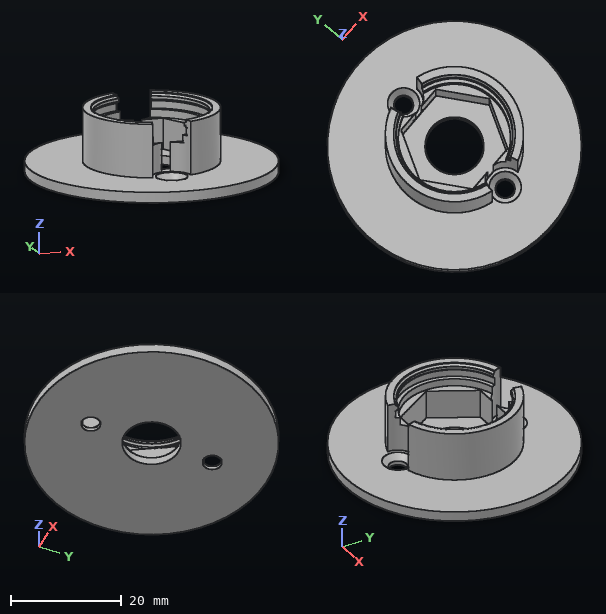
import cadquery as cq

flange_diameter = 46.0
flange_thickness = 2.0
bore_diameter = 10.6

collar_diameter = 25.0
collar_height = 10.0
collar_top = flange_thickness + collar_height

upper_recess_radius = 11.0
upper_recess_depth = 3.0
lower_recess_radius = 10.15
lower_recess_depth = 1.5
hex_depth_into_flange = 0.3
hex_across_corners = 19.6
upper_ledge = collar_top - upper_recess_depth
lower_ledge = upper_ledge - lower_recess_depth
hex_floor = flange_thickness - hex_depth_into_flange

bead_protrusion = 0.5
bead_lip = 0.1
bead_crest_height = 0.6
bead_top_gap = 0.2

screw_offset = 12.0
screw_diameter = 3.5
countersink_diameter = 5.8
countersink_angle = 90.0
screw_clearance_diameter = 7.2
screw_positions = [(0, screw_offset), (0, -screw_offset)]


def disc(diameter, bottom, top):
    """Upright cylinder on the Z axis between two heights."""
    return cq.Workplane("XY").workplane(offset=bottom).circle(diameter / 2).extrude(top - bottom)


def make_collar():
    """Collar with two round steps in its bore."""
    collar = disc(collar_diameter, flange_thickness, collar_top)
    upper_recess = disc(2 * upper_recess_radius, upper_ledge, collar_top)
    lower_recess = disc(2 * lower_recess_radius, lower_ledge, upper_ledge)
    return collar.cut(upper_recess).cut(lower_recess)


def make_hex_pocket():
    """Hexagonal pocket from the lower ledge to just below the flange face."""
    return (
        cq.Workplane("XY")
        .workplane(offset=hex_floor)
        .polygon(6, hex_across_corners)
        .extrude(lower_ledge - hex_floor)
    )


def make_snap_bead():
    """Inward bead with 45 degree flanks and a narrow square-edged lip, rooted halfway into the wall."""
    root_radius = (upper_recess_radius + collar_diameter / 2) / 2
    crest_radius = upper_recess_radius - bead_protrusion
    flank_radius = crest_radius + bead_lip
    bead_top = collar_top - bead_top_gap
    flank_height = bead_protrusion - bead_lip
    crest_top = bead_top - flank_height
    crest_bottom = crest_top - bead_crest_height
    bead_bottom = crest_bottom - flank_height
    section = [
        (root_radius, bead_bottom),
        (upper_recess_radius, bead_bottom),
        (flank_radius, crest_bottom),
        (crest_radius, crest_bottom),
        (crest_radius, crest_top),
        (flank_radius, crest_top),
        (upper_recess_radius, bead_top),
        (root_radius, bead_top),
    ]
    return cq.Workplane("XZ").polyline(section).close().revolve(360, (0, 0, 0), (0, 1, 0))


def make_screw_clearance():
    """Cylinders that open the collar above each screw hole."""
    return (
        cq.Workplane("XY")
        .workplane(offset=flange_thickness)
        .pushPoints(screw_positions)
        .circle(screw_clearance_diameter / 2)
        .extrude(collar_height)
    )


def make_flange():
    """Round flange with a central bore and two countersunk screw holes."""
    return (
        disc(flange_diameter, 0, flange_thickness)
        .cut(disc(bore_diameter, 0, flange_thickness))
        .faces(">Z")
        .workplane(origin=(0, 0, flange_thickness))
        .pushPoints(screw_positions)
        .cskHole(screw_diameter, countersink_diameter, countersink_angle)
    )


slotted_collar = make_collar().union(make_snap_bead()).cut(make_screw_clearance())
result = make_flange().union(slotted_collar).cut(make_hex_pocket())